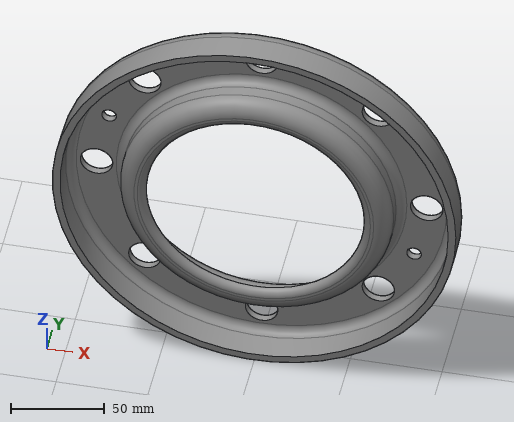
import cadquery as cq
import math

outer_radius = 110.0
sheet_thickness = 4.2
outer_bend = 9.0
inner_bend = outer_bend - sheet_thickness
total_depth = 24.5
rim_setback = 0.7
collar_radius = 74.4
bore_radius = 59.5

bolt_count = 8
bolt_diameter = 17.5
small_hole_diameter = 8.0
hole_circle_radius = 90.0
small_hole_angles = (157.5, 337.5)

crest_y = -total_depth
rim_y = crest_y + rim_setback
floor_y = -sheet_thickness


def add_bend(path, center, radius, start_angle, end_angle):
    """Add a circular bend from the current point, angles in degrees in the (radius, Y) plane."""

    def on_arc(angle):
        turn = math.radians(angle)
        return (center[0] + radius * math.cos(turn), center[1] + radius * math.sin(turn))

    middle_angle = (start_angle + end_angle) / 2
    return path.threePointArc(on_arc(middle_angle), on_arc(end_angle))


def make_shell():
    """Revolve the sheet section: rim, floor, collar and rounded inner lip."""
    rim_inside = outer_radius - sheet_thickness
    collar_inside = collar_radius - sheet_thickness
    rim_center = (outer_radius - outer_bend, -outer_bend)
    foot_center = (collar_radius + inner_bend, floor_y - inner_bend)
    crest_center = (collar_radius - outer_bend, crest_y + outer_bend)
    lip_center = (bore_radius + sheet_thickness, crest_y + sheet_thickness)

    path = cq.Workplane("XY").moveTo(outer_radius, rim_y).lineTo(outer_radius, rim_center[1])
    path = add_bend(path, rim_center, outer_bend, 0, 90)
    path = path.lineTo(foot_center[0], 0)
    path = add_bend(path, foot_center, outer_bend, 90, 180)
    path = path.lineTo(collar_inside, crest_center[1])
    path = add_bend(path, crest_center, inner_bend, 0, -90)
    path = path.lineTo(bore_radius, lip_center[1])

    path = add_bend(path, lip_center, sheet_thickness, 180, 270)
    path = path.lineTo(crest_center[0], crest_y)
    path = add_bend(path, crest_center, outer_bend, -90, 0)
    path = path.lineTo(collar_radius, foot_center[1])
    path = add_bend(path, foot_center, inner_bend, 180, 90)
    path = path.lineTo(rim_center[0], floor_y)
    path = add_bend(path, rim_center, inner_bend, 90, 0)
    path = path.lineTo(rim_inside, rim_y).close()
    return path.revolve(360, (0, 0, 0), (0, 1, 0))


def make_holes(diameter, angles):
    """Cutters through the floor, centred on the hole circle."""
    centers = []
    for angle in angles:
        turn = math.radians(angle)
        centers.append((hole_circle_radius * math.cos(turn), hole_circle_radius * math.sin(turn)))
    plane = cq.Workplane("XZ").pushPoints(centers)
    return plane.circle(diameter / 2).extrude(total_depth, both=True)


bolt_angles = [index * 360 / bolt_count for index in range(bolt_count)]

result = make_shell()
result = result.cut(make_holes(bolt_diameter, bolt_angles))
result = result.cut(make_holes(small_hole_diameter, small_hole_angles))